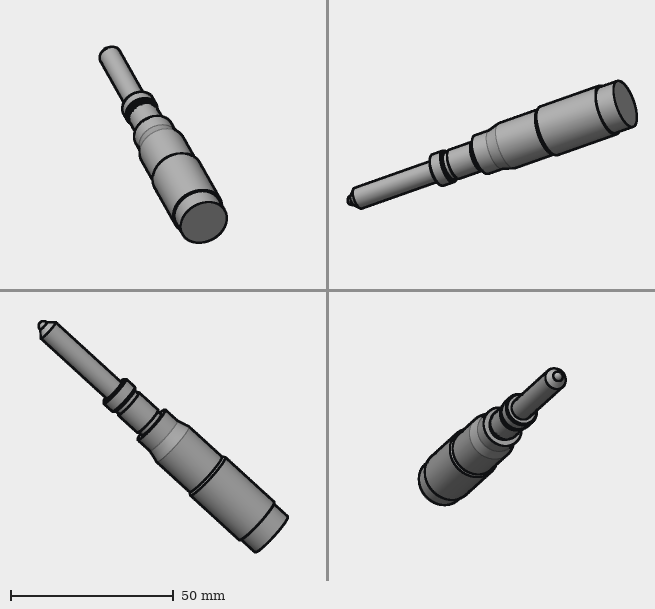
import cadquery as cq
import math

length = 97.3
cone_end = 3.5
collar_start = 31.1
collar_end = 35.7
collar_front_chamfer = 0.4
collar_rear_chamfer_length = 0.6
collar_rear_chamfer_depth = 0.3
land_start = 37.3
land_end = 45.3
body_start = 46.9
taper_start = 51.9
taper_end = 55.8
sleeve_start = 69.7
sleeve_chamfer_length = 0.9
sleeve_end = 91.2

nose_radius = 1.6
pin_radius = 3.4
collar_radius = 5.2
neck_radius = 4.4
land_radius = 4.8
body_front_radius = 6.3
body_radius = 7.4
sleeve_radius = 8.0
tail_radius = 7.5

nose_arc_offset = nose_radius * math.sqrt(0.5)

profile = (
    cq.Workplane("XY")
    .moveTo(0, 0)
    .threePointArc((nose_radius - nose_arc_offset, nose_arc_offset), (nose_radius, nose_radius))
    .lineTo(cone_end, pin_radius)
    .lineTo(collar_start, pin_radius)
    .lineTo(collar_start, collar_radius - collar_front_chamfer)
    .lineTo(collar_start + collar_front_chamfer, collar_radius)
    .lineTo(collar_end - collar_rear_chamfer_length, collar_radius)
    .lineTo(collar_end, collar_radius - collar_rear_chamfer_depth)
    .lineTo(collar_end, neck_radius)
    .lineTo(land_start, neck_radius)
    .lineTo(land_start, land_radius)
    .lineTo(land_end, land_radius)
    .lineTo(land_end, neck_radius)
    .lineTo(body_start, neck_radius)
    .lineTo(body_start, body_front_radius)
    .lineTo(taper_start, body_front_radius)
    .lineTo(taper_end, body_radius)
    .lineTo(sleeve_start, body_radius)
    .lineTo(sleeve_start + sleeve_chamfer_length, sleeve_radius)
    .lineTo(sleeve_end, sleeve_radius)
    .lineTo(sleeve_end, tail_radius)
    .lineTo(length, tail_radius)
    .lineTo(length, 0)
    .close()
)

result = profile.revolve(360, (0, 0, 0), (1, 0, 0))